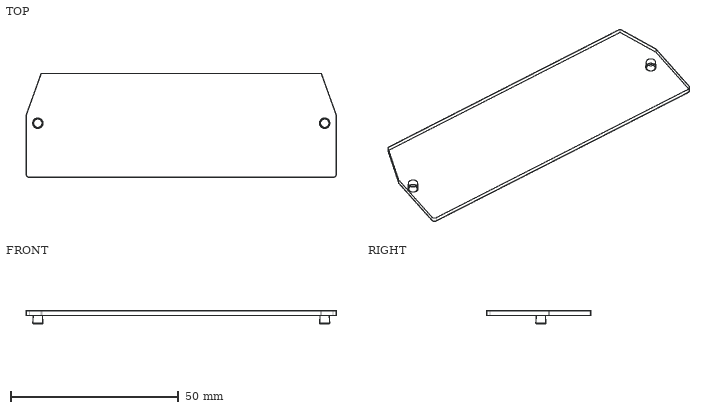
import cadquery as cq

plate_length = 92.8
plate_width = 31.15
plate_thickness = 1.5
shoulder_inset = 4.5
shoulder_run = 12.5
front_corner_radius = 1.0
back_corner_radius = 0.3

total_height = 4.0
peg_length = total_height - plate_thickness
peg_from_end = 3.5
peg_from_front = 16.2
peg_root_diameter = 2.8
peg_tip_diameter = 3.1
tip_chamfer = 0.3

half_length = plate_length / 2
peg_offset = half_length - peg_from_end
front_y = -plate_width / 2
back_y = plate_width / 2


def make_plate():
    """Flat plate with sloped shoulders at the back and rounded front and back corners."""
    outline = [
        (-half_length, front_y),
        (half_length, front_y),
        (half_length, back_y - shoulder_run),
        (half_length - shoulder_inset, back_y),
        (-half_length + shoulder_inset, back_y),
        (-half_length, back_y - shoulder_run),
    ]
    plate = cq.Workplane("XY").polyline(outline).close().extrude(plate_thickness)
    plate = plate.edges("|Z and <Y").fillet(front_corner_radius)
    return plate.edges("|Z and >Y").fillet(back_corner_radius)


def make_peg(x):
    """Round peg hanging from the plate, widening towards a chamfered tip."""
    root_radius = peg_root_diameter / 2
    tip_radius = peg_tip_diameter / 2
    profile = [
        (0, 0),
        (root_radius, 0),
        (tip_radius, -peg_length + tip_chamfer),
        (tip_radius - tip_chamfer, -peg_length),
        (0, -peg_length),
    ]
    peg = cq.Workplane("XZ").polyline(profile).close().revolve(360, (0, 0), (0, 1))
    return peg.translate((x, front_y + peg_from_front, 0))


result = make_plate()
for side in (-1, 1):
    result = result.union(make_peg(side * peg_offset))